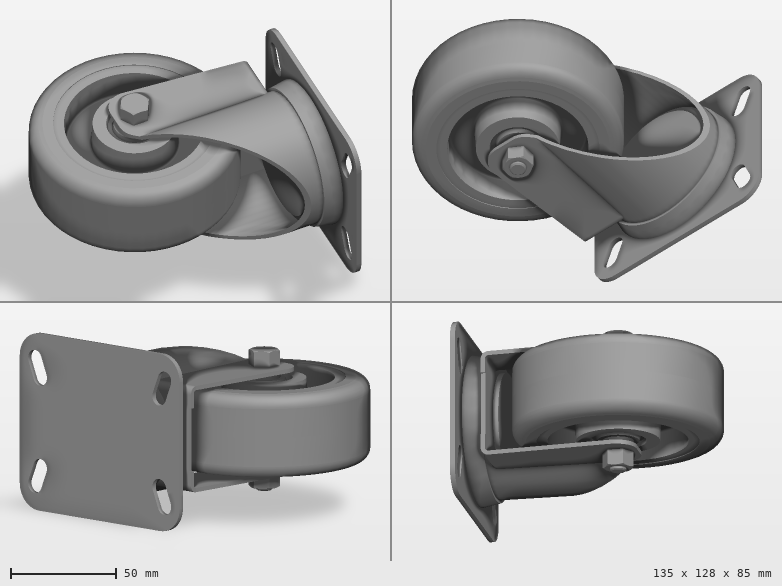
import cadquery as cq
import math

wheel_diameter = 100.0
wheel_radius = wheel_diameter / 2
wheel_half_width = 20.0
core_radius = 38.5
tread_flat_radius = 43.5
tread_slope_radius = 45.5
tread_slope_drop = 0.4
tread_shoulder_height = 13.9
core_half_width = 19.6
rim_inner_radius = 33.3
rim_foot_radius = 32.7
hub_radius = 19.8
hub_foot_radius = 20.7
web_fillet = 1.0
web_half_thickness = 6.8

bushing_radius = 16.0
groove_outer_radius = 13.5
groove_floor_outer_radius = 12.7
groove_floor_inner_radius = 10.8
groove_inner_radius = 10.0
groove_depth = 2.2
spacer_radius = 7.5

bolt_radius = 3.9
bolt_tip_radius = 3.2
bolt_tip_z = -34.5
bolt_tip_chamfer = 0.5
hex_across_flats = 13.0
hex_height = 7.5
hex_chamfer_angle = 30

sheet = 2.0
fork_half_width = 25.5
leg_inner = fork_half_width - sheet
swivel_x = 35.0
shell_radius = 33.0
bridge_top = 64.1
bridge_bottom = bridge_top - sheet
fork_front_x = -10.1
bend_radius = 3.6
notch_depth = 1.4
notch_width = 30.2
leg_bottom = -10.0
leg_corner_radius = 10.0
leg_taper_angle = 5
cut_angle = 50
cut_height = 60.0
raceway_radius = 27.0
raceway_bottom = 59.5

plate_length = 100.0
plate_width = 85.0
plate_thickness = 2.4
plate_corner_radius = 12.0
plate_top = 128.0 - wheel_radius
plate_bottom = plate_top - plate_thickness
slot_spacing_x = 77.8
slot_spacing_z = 52.0
slot_width = 8.5
slot_length = 17.4
slot_tilt = 21.6
ring_gap = 0.4
ring_top_radius = 36.0
ring_bottom_radius = 34.4
ring_bottom = 66.2


def disc(radius, bottom, top):
    """Cylinder about the swivel axis between two heights along Y."""
    plane = cq.Workplane("XZ", origin=(swivel_x, top, 0))
    return plane.circle(radius).extrude(top - bottom)


def make_plate():
    blank = cq.Workplane("XZ", origin=(swivel_x, plate_top, 0)).rect(plate_length, plate_width)
    plate = blank.extrude(plate_thickness).edges("|Y").fillet(plate_corner_radius)
    for side_x in (-1, 1):
        for side_z in (-1, 1):
            slot = (
                cq.Workplane("XZ", origin=(swivel_x, plate_top, 0))
                .center(side_x * slot_spacing_x / 2, side_z * slot_spacing_z / 2)
                .transformed(rotate=(0, 0, 90 - side_x * side_z * slot_tilt))
                .slot2D(slot_length, slot_width)
                .extrude(plate_thickness)
            )
            plate = plate.cut(slot)
    return plate


def make_ring():
    ring_top = plate_bottom - ring_gap
    profile = [
        (0, ring_bottom),
        (ring_bottom_radius, ring_bottom),
        (ring_top_radius, ring_top),
        (shell_radius, ring_top),
        (shell_radius, plate_bottom),
        (0, plate_bottom),
    ]
    ring = cq.Workplane("XY").polyline(profile).close().revolve(360, (0, 0), (0, 1))
    return ring.translate((swivel_x, 0, 0))


def channel(half_width, front_x, bottom, top, radius):
    """Block from the fork front to the swivel axis with its two upper long edges rounded."""
    block = cq.Workplane("XY").box(
        swivel_x - front_x, top - bottom, 2 * half_width, centered=(False, False, True)
    )
    return block.translate((front_x, bottom, 0)).edges("|X and >Y").fillet(radius)


def side_outline():
    """Leg and shell as seen along Z, extruded over more than the fork width."""
    bend_line = bridge_top - bend_radius
    taper = (bend_line - leg_bottom) * math.tan(math.radians(leg_taper_angle))
    back_x = swivel_x + shell_radius
    cut_foot_x = back_x - (cut_height - leg_bottom) / math.tan(math.radians(cut_angle))
    points = [
        (fork_front_x, ring_bottom),
        (fork_front_x, bend_line),
        (fork_front_x - taper, leg_bottom),
        (cut_foot_x, leg_bottom),
        (back_x, cut_height),
        (back_x, ring_bottom),
    ]
    prism = cq.Workplane("XY").polyline(points).close().extrude(shell_radius, both=True)
    return prism.edges("|Z and <Y").fillet(leg_corner_radius)


def make_fork():
    far_front = 2 * fork_front_x
    outside = channel(fork_half_width, far_front, leg_bottom, bridge_top, bend_radius)
    outside = outside.union(disc(shell_radius, leg_bottom, ring_bottom))
    inside = channel(leg_inner, far_front, leg_bottom, bridge_bottom, bend_radius - sheet)
    inside = inside.union(disc(shell_radius - sheet, leg_bottom, bridge_bottom))
    fork = outside.cut(inside).intersect(side_outline())
    fork = fork.union(disc(raceway_radius, raceway_bottom, bridge_bottom))
    notch = cq.Workplane("XY").box(2 * notch_depth, 2 * bridge_top, notch_width)
    fork = fork.cut(notch.translate((fork_front_x, bridge_top, 0)))
    bolt_hole = cq.Workplane("XY").circle(bolt_radius).extrude(fork_half_width, both=True)
    return fork.cut(bolt_hole)


def turned(section):
    """Solid of revolution about Z from an outline drawn as (radius, height)."""
    return section.revolve(360, (0, 0), (0, 1)).rotate((0, 0, 0), (1, 0, 0), 90)


def turned_symmetric(half_section):
    """Ring about Z from an outline that starts and ends on the mid plane of the wheel."""
    return turned(half_section.mirrorX())


def make_tread():
    half_section = (
        cq.Workplane("XY")
        .moveTo(wheel_radius, 0)
        .lineTo(wheel_radius, tread_shoulder_height)
        .tangentArcPoint((tread_slope_radius, wheel_half_width - tread_slope_drop), relative=False)
        .lineTo(tread_flat_radius, wheel_half_width)
        .lineTo(core_radius, wheel_half_width)
        .lineTo(core_radius, 0)
    )
    return turned_symmetric(half_section)


def make_core():
    fillet_top = web_half_thickness + web_fillet
    half_section = (
        cq.Workplane("XY")
        .moveTo(core_radius, 0)
        .lineTo(core_radius, core_half_width)
        .lineTo(rim_inner_radius, core_half_width)
        .lineTo(rim_foot_radius, fillet_top)
        .radiusArc((rim_foot_radius - web_fillet, web_half_thickness), web_fillet)
        .lineTo(hub_foot_radius + web_fillet, web_half_thickness)
        .radiusArc((hub_foot_radius, fillet_top), web_fillet)
        .lineTo(hub_radius, core_half_width)
        .lineTo(bushing_radius, core_half_width)
        .lineTo(bushing_radius, 0)
    )
    return turned_symmetric(half_section)


def make_bushing():
    groove_floor = core_half_width - groove_depth
    points = [
        (bushing_radius, 0),
        (bushing_radius, core_half_width),
        (groove_outer_radius, core_half_width),
        (groove_floor_outer_radius, groove_floor),
        (groove_floor_inner_radius, groove_floor),
        (groove_inner_radius, core_half_width),
        (spacer_radius, core_half_width),
        (spacer_radius, leg_inner),
        (bolt_radius, leg_inner),
        (bolt_radius, 0),
    ]
    return turned_symmetric(cq.Workplane("XY").polyline(points))


def hexagon():
    """Hexagonal prism on the outer face of the fork, chamfered at its outer corners."""
    corner_diameter = hex_across_flats / math.cos(math.radians(30))
    prism = (
        cq.Workplane("XY", origin=(0, 0, fork_half_width))
        .transformed(rotate=(0, 0, 30))
        .polygon(6, corner_diameter)
        .extrude(hex_height)
    )
    top = fork_half_width + hex_height
    face_radius = hex_across_flats / 2
    foot_radius = face_radius + hex_height / math.tan(math.radians(hex_chamfer_angle))
    cone_points = [(0, fork_half_width), (foot_radius, fork_half_width), (face_radius, top), (0, top)]
    return prism.intersect(turned(cq.Workplane("XY").polyline(cone_points).close()))


def make_bolt():
    points = [
        (0, bolt_tip_z),
        (bolt_tip_radius, bolt_tip_z),
        (bolt_radius, bolt_tip_z + bolt_tip_chamfer),
        (bolt_radius, fork_half_width),
        (0, fork_half_width),
    ]
    return turned(cq.Workplane("XY").polyline(points).close()).union(hexagon())


def make_nut():
    bore = cq.Workplane("XY").circle(bolt_radius).extrude(-2 * fork_half_width)
    return hexagon().mirror("XY").cut(bore)


plate = make_plate()
ring = make_ring()
fork = make_fork()
tread = make_tread()
core = make_core()
bushing = make_bushing()
bolt = make_bolt()
nut = make_nut()

bodies = [plate, ring, fork, tread, core, bushing, bolt, nut]
result = cq.Compound.makeCompound([body.val() for body in bodies])